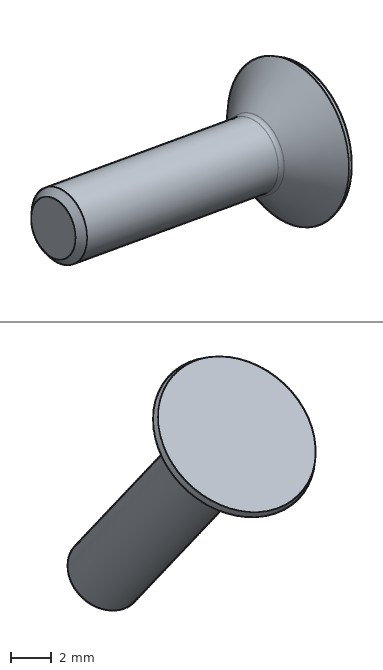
import cadquery as cq
import math

total_length = 16.0
shank_diameter = 4.0
head_diameter = 8.74
rim_height = 0.32
rim_inset = 0.13
tip_chamfer = 0.4
neck_fillet_radius = 0.4
cone_half_angle = 45.0

shank_radius = shank_diameter / 2
head_radius = head_diameter / 2
tip_y = -total_length / 2
face_y = total_length / 2
rim_y = face_y - rim_height

half_angle = math.radians(cone_half_angle)
fillet_end_radius = shank_radius + neck_fillet_radius * (1 - math.cos(half_angle))
fillet_end_y = rim_y - (head_radius - fillet_end_radius) / math.tan(half_angle)
fillet_start_y = fillet_end_y - neck_fillet_radius * math.sin(half_angle)
fillet_mid_radius = shank_radius + neck_fillet_radius * (1 - math.cos(half_angle / 2))
fillet_mid_y = fillet_start_y + neck_fillet_radius * math.sin(half_angle / 2)

half_profile = (
    cq.Workplane("XY")
    .moveTo(0, tip_y)
    .lineTo(shank_radius - tip_chamfer, tip_y)
    .lineTo(shank_radius, tip_y + tip_chamfer)
    .lineTo(shank_radius, fillet_start_y)
    .threePointArc((fillet_mid_radius, fillet_mid_y), (fillet_end_radius, fillet_end_y))
    .lineTo(head_radius, rim_y)
    .lineTo(head_radius - rim_inset, face_y)
    .lineTo(0, face_y)
    .close()
)

result = half_profile.revolve(360, (0, 0, 0), (0, 1, 0))